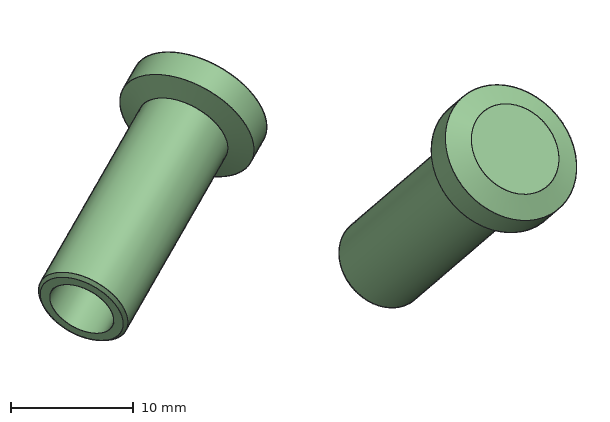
import cadquery as cq
import math

total_length = 24.0
head_diameter = 12.0
shank_diameter = 8.0
head_length = 4.0
head_bevel_angle = 20.0
tip_chamfer = 0.3
bore_diameter = 5.7
bore_depth = 15.0
drill_point_angle = 118.0

head_radius = head_diameter / 2
shank_radius = shank_diameter / 2
bore_radius = bore_diameter / 2
bevel_length = (head_radius - shank_radius) * math.tan(math.radians(head_bevel_angle))
drill_point_length = bore_radius / math.tan(math.radians(drill_point_angle / 2))
head_start = total_length - head_length
bore_tip = bore_depth + drill_point_length

half_section = [
    (0, bore_tip),
    (bore_radius, bore_depth),
    (bore_radius, 0),
    (shank_radius - tip_chamfer, 0),
    (shank_radius, tip_chamfer),
    (shank_radius, head_start),
    (head_radius, head_start + bevel_length),
    (head_radius, total_length - bevel_length),
    (shank_radius, total_length),
    (0, total_length),
]

result = cq.Workplane("XY").polyline(half_section).close().revolve(360, (0, 0), (0, 1))